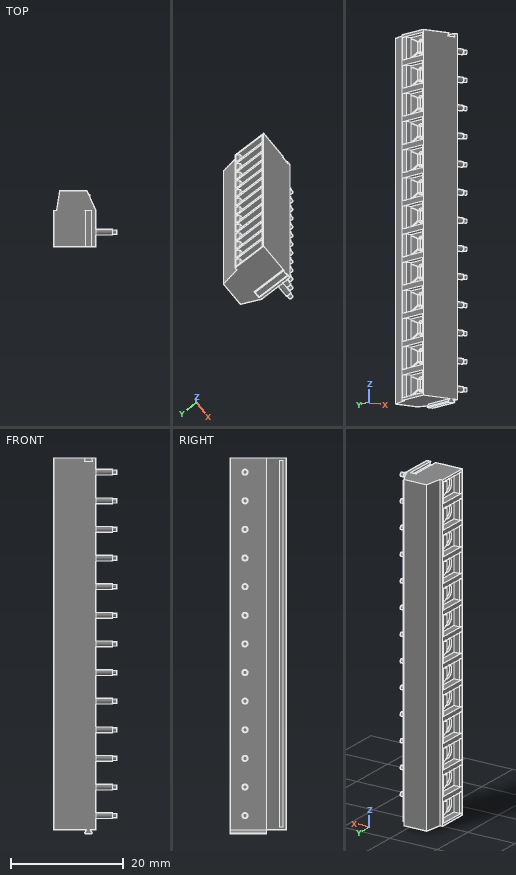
import cadquery as cq
import math


cell_count = 13
pitch = 5.08
body_length = cell_count * pitch

overall_depth = 11.2
body_depth = 7.5
body_height = 10.0
shoulder_y = 6.5
shoulder_step = 0.5
crown_left_x = 1.05
crown_right_x = 5.9

ridge_low_y = 8.75
ridge_high_y = 9.35
ridge_top_x = 6.45

partition = 1.0
window_width = pitch - partition
mouth_low_y = 0.2
mouth_high_y = 6.3
window_low_y = 0.6
window_high_y = 5.65
flare_angle = 30
window_depth = 1.4

wedge_rise = 0.3
wedge_crest_y = 5.06
wedge_end_y = 3.3
wedge_wide = 3.3
wedge_narrow = 1.85

pin_y = 2.65
pin_radius = 0.53
pin_tip_radius = 0.4
pin_tip_length = 0.8
pin_shank_length = overall_depth - body_depth - pin_tip_length

hole_radius = 1.33
hole_depth = 0.45
lip_end_y = 2.84

dovetail_x = 6.16
dovetail_length = shoulder_y
groove_depth = 0.62
groove_neck = 1.06
groove_base = 1.46
tongue_height = 0.68
tongue_neck = 0.7
tongue_wide = 1.42
tongue_wide_height = 0.52
tongue_end = 1.1


def prism_along_z(points, z_start, length):
    """Extrude an XY outline along +Z."""
    return cq.Workplane("XY").workplane(offset=z_start).polyline(points).close().extrude(length)


def prism_along_y(points):
    """Extrude an XZ outline along +Y over the dovetail length."""
    return cq.Workplane("XZ").polyline(points).close().extrude(-dovetail_length)


def housing():
    outline = [
        (0, 0),
        (body_depth, 0),
        (body_depth, shoulder_y),
        (crown_right_x, body_height),
        (crown_left_x, body_height),
        (shoulder_step, shoulder_y),
        (0, shoulder_y),
    ]
    return prism_along_z(outline, 0, body_length)


def slope_x(y):
    """X of the sloped back of the crown at height y."""
    run_per_rise = (body_depth - crown_right_x) / (body_height - shoulder_y)
    return crown_right_x + run_per_rise * (body_height - y)


def crown_ridge():
    """Low ridge on the slope, stopping short of both ends of the strip."""
    outline = [
        (crown_right_x, ridge_low_y),
        (slope_x(ridge_low_y), ridge_low_y),
        (ridge_top_x, ridge_high_y),
        (crown_right_x, ridge_high_y),
    ]
    return prism_along_z(outline, partition / 2, body_length - partition)


def window_pocket(z_center):
    """Straight pocket whose mouth flares along its two long edges."""
    flare_slope = math.tan(math.radians(flare_angle))
    low_flare_depth = flare_slope * (window_low_y - mouth_low_y)
    high_flare_depth = flare_slope * (mouth_high_y - window_high_y)
    outline = [
        (0, mouth_low_y),
        (low_flare_depth, window_low_y),
        (window_depth, window_low_y),
        (window_depth, window_high_y),
        (high_flare_depth, window_high_y),
        (0, mouth_high_y),
    ]
    return prism_along_z(outline, z_center - window_width / 2, window_width)


def wedge(z_center):
    """Tapering block that curves up from the window floor and ends in a step at the hole."""
    half_wide = wedge_wide / 2
    half_narrow = wedge_narrow / 2
    plan = [
        (window_high_y, z_center - half_wide),
        (window_high_y, z_center + half_wide),
        (wedge_crest_y, z_center + half_wide),
        (wedge_end_y, z_center + half_narrow),
        (wedge_end_y, z_center - half_narrow),
        (wedge_crest_y, z_center - half_wide),
    ]
    column = cq.Workplane("YZ").polyline(plan).close().extrude(window_depth)
    crest_x = window_depth - wedge_rise
    profile = (
        cq.Workplane("XY")
        .workplane(offset=z_center - half_wide)
        .moveTo(window_depth, wedge_end_y)
        .lineTo(crest_x, wedge_end_y)
        .lineTo(crest_x, wedge_crest_y)
        .tangentArcPoint((window_depth, window_high_y), relative=False)
        .close()
        .extrude(wedge_wide)
    )
    return column.intersect(profile)


def floor_hole(z_center):
    """Shallow round hole, cut flat at the wedge end, with a narrow lip left standing in it."""
    floor = cq.Workplane("YZ", origin=(window_depth, 0, z_center))
    disc = floor.center(pin_y, 0).circle(hole_radius).extrude(hole_depth)
    disc_end_y = pin_y + hole_radius
    beyond_end = (
        floor.center((wedge_end_y + disc_end_y) / 2, 0)
        .rect(disc_end_y - wedge_end_y, 2 * hole_radius)
        .extrude(hole_depth)
    )
    lip = (
        floor.center((lip_end_y + wedge_end_y) / 2, 0)
        .rect(wedge_end_y - lip_end_y, wedge_narrow)
        .extrude(hole_depth)
    )
    return disc.cut(beyond_end).cut(lip)


def pin(z_center):
    """Round pin with a thinner tip."""
    base = cq.Workplane("YZ", origin=(body_depth, pin_y, z_center))
    shank = base.circle(pin_radius).extrude(pin_shank_length)
    return shank.faces(">X").workplane().circle(pin_tip_radius).extrude(pin_tip_length)


def dovetail_groove():
    """Groove in the upper end, wider at its base than at its mouth."""
    z_base = body_length - groove_depth
    return prism_along_y([
        (dovetail_x - groove_neck / 2, body_length),
        (dovetail_x + groove_neck / 2, body_length),
        (dovetail_x + groove_base / 2, z_base),
        (dovetail_x - groove_base / 2, z_base),
    ])


def dovetail_tongue():
    """Tongue under the lower end, flaring out from its neck and bevelled at its tip."""
    return prism_along_y([
        (dovetail_x - tongue_neck / 2, 0),
        (dovetail_x + tongue_neck / 2, 0),
        (dovetail_x + tongue_wide / 2, -tongue_wide_height),
        (dovetail_x + tongue_end / 2, -tongue_height),
        (dovetail_x - tongue_end / 2, -tongue_height),
        (dovetail_x - tongue_wide / 2, -tongue_wide_height),
    ])


result = housing().union(crown_ridge()).cut(dovetail_groove()).union(dovetail_tongue())
for index in range(cell_count):
    cell_z = (index + 0.5) * pitch
    result = result.cut(window_pocket(cell_z))
    result = result.cut(floor_hole(cell_z))
    result = result.union(wedge(cell_z))
    result = result.union(pin(cell_z))